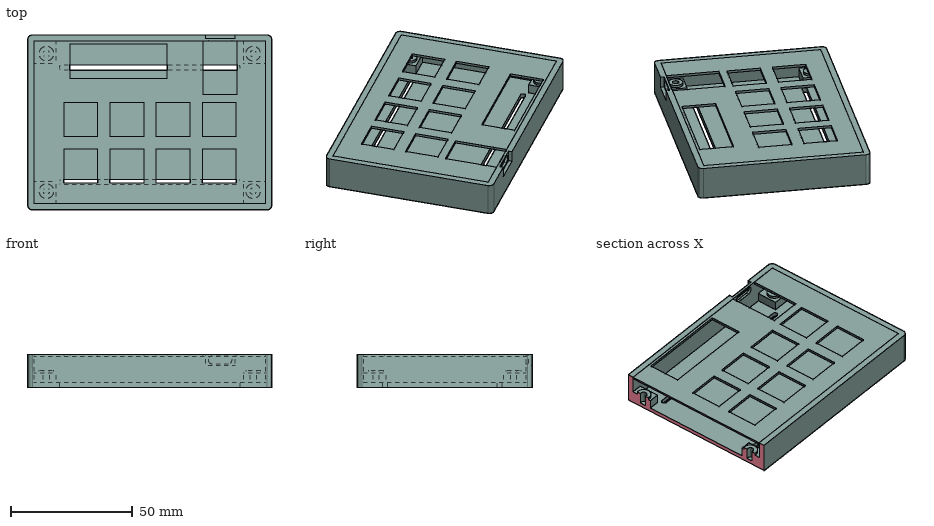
import cadquery as cq

length = 100.6
width = 72.1
height = 13.7
wall = 2.6
floor = 2.0
corner_radius = 2.0
inner_length = length - 2 * wall
inner_width = width - 2 * wall
back_face = width - wall

post_side = 9.2
post_height = 3.9
boss_diameter = 6.0
boss_height = 1.0
boss_margin = 1.0
screw_hole_diameter = 2.6

slot_width = 2.1
slot_length = 74.4
slot_centers_y = (11.5, 58.6)

plate_thickness = 1.0
plate_bottom = height - plate_thickness

key_side = 14.0
key_pitch = 19.0
key_columns = 4
key_rows = 2
key_center_x = 50.4
key_center_y = 27.7

display_length = 40.0
display_width = 14.2
display_left = 17.4
display_back_margin = 1.1

controller_width = 14.0
controller_depth = 22.0
controller_x = 79.3

port_length = 9.7
port_height = 3.3
port_z = 11.4
relief_length = 12.1
relief_depth = 1.5
relief_bottom = 9.1


def box_from(x, y, z, size_x, size_y, size_z):
    """Box with its lower left front corner at (x, y, z)."""
    return cq.Workplane("XY").box(size_x, size_y, size_z, centered=False).translate((x, y, z))


def on_corners(inset, z):
    """Workplane at height z with a point in each corner, inset from the outer sides."""
    return cq.Workplane("XY", origin=(length / 2, width / 2, z)).rarray(
        length - 2 * inset, width - 2 * inset, 2, 2
    )


def corner_posts():
    """Square post in each inner corner, with a boss on top and a hole down to the floor."""
    post_inset = wall + post_side / 2
    boss_inset = wall + post_side - boss_margin - boss_diameter / 2
    full_height = post_height + boss_height
    posts = on_corners(post_inset, floor).rect(post_side, post_side).extrude(post_height)
    bosses = on_corners(boss_inset, floor).circle(boss_diameter / 2).extrude(full_height)
    holes = on_corners(boss_inset, floor).circle(screw_hole_diameter / 2).extrude(full_height)
    return posts.union(bosses).cut(holes)


def floor_slots():
    """Round-ended slots along X."""
    return (
        cq.Workplane("XY")
        .pushPoints([(length / 2, y) for y in slot_centers_y])
        .slot2D(slot_length, slot_width)
        .extrude(floor)
    )


def cable_port():
    """Round-ended opening through the back wall and the plug relief outside it."""
    opening = (
        cq.Workplane("XZ", origin=(controller_x, width, port_z))
        .slot2D(port_length, port_height)
        .extrude(wall)
    )
    relief = box_from(
        controller_x - relief_length / 2,
        width - relief_depth,
        relief_bottom,
        relief_length,
        relief_depth,
        height - relief_bottom,
    )
    return opening.union(relief)


def make_housing():
    outer = box_from(0, 0, 0, length, width, height).edges("|Z").fillet(corner_radius)
    cavity = box_from(wall, wall, floor, inner_length, inner_width, height - floor)
    return outer.cut(cavity).union(corner_posts()).cut(floor_slots()).cut(cable_port())


def key_windows():
    return (
        cq.Workplane("XY", origin=(key_center_x, key_center_y, plate_bottom))
        .rarray(key_pitch, key_pitch, key_columns, key_rows)
        .rect(key_side, key_side)
        .extrude(plate_thickness)
    )


def display_window():
    front = back_face - display_back_margin - display_width
    return box_from(display_left, front, plate_bottom, display_length, display_width, plate_thickness)


def controller_notch():
    left = controller_x - controller_width / 2
    front = back_face - controller_depth
    return box_from(left, front, plate_bottom, controller_width, controller_depth, plate_thickness)


def make_plate():
    blank = box_from(wall, wall, plate_bottom, inner_length, inner_width, plate_thickness)
    return blank.cut(key_windows()).cut(display_window()).cut(controller_notch())


housing = make_housing()
plate = make_plate()
result = cq.Compound.makeCompound([housing.val(), plate.val()])